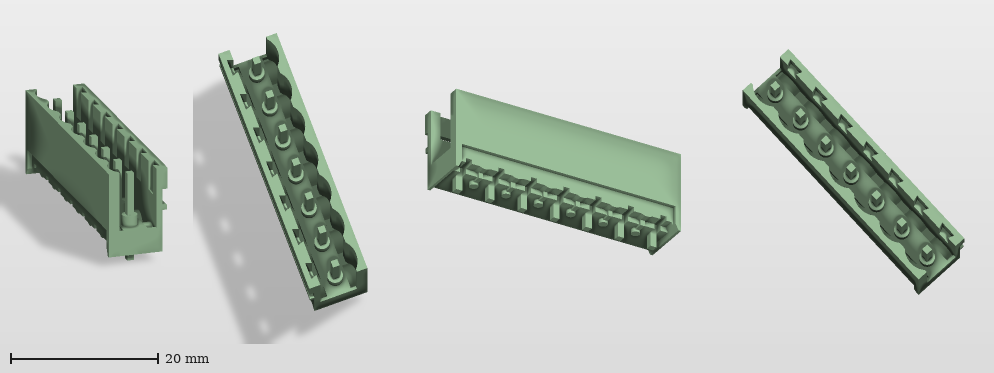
import cadquery as cq
import math


length = 35.35
depth = 8.4
height = 13.5

pin_count = 7
pitch = 5.1
pin_size = 0.95
pin_top = 12.55
row_y = 3.8
pole_x = [length / 2 + (i - (pin_count - 1) / 2) * pitch for i in range(pin_count)]
gap_x = [x + pitch / 2 for x in pole_x[:-1]]

foot_z = 1.5
floor_z = 5.0
front_inner_y = 1.52
back_inner_y = 6.82
back_outer_y = 7.67
latch_z = 10.45
rib_bottom = 7.45
rib_top = 8.2
rib_y = 8.3

collar_diameter = 2.12
collar_top = 6.5

trench_margin = 0.42
floor_front_y = 2.25
floor_back_y = 5.65
ridge_radius = 1.6
ridge_flank_angle = math.radians(55)
ridge_half_base = 1.7
ridge_arc_half = ridge_radius * math.sin(ridge_flank_angle)
ridge_arc_rise = ridge_radius * (1 - math.cos(ridge_flank_angle))
ridge_flank_rise = (ridge_half_base - ridge_arc_half) * math.tan(ridge_flank_angle)
trench_z = floor_z - ridge_arc_rise - ridge_flank_rise

scallop_radius = 3.05

keyway_bottom = 9.37
keyway_mouth = 1.77
keyway_back = 2.4

recess_margin = 0.9
recess_top = 5.13
recess_depth = 0.65
foot_tip = 0.4
foot_root = 1.1
lip_z = 2.85
base_z = 2.12
dip_z = 2.65
dip_bottom_width = 0.65
dip_top_width = 1.7
notch_top = 3.5
standoff_diameter = 1.27
web_width = 0.65
web_bottom = 1.8
web_front_y = 1.85


def box(x0, x1, y0, y1, z0, z1):
    """Box between two opposite corners."""
    return cq.Workplane("XY").box(x1 - x0, y1 - y0, z1 - z0, centered=False).translate((x0, y0, z0))


def along_y(outline, y0, y1):
    """Extrude a closed XZ outline from y0 to y1."""
    return outline.close().extrude(-(y1 - y0)).translate((0, y0, 0))


def shell():
    """U-shaped channel with the thick latch edge and the rib on its back."""
    outline = [
        (0, foot_z),
        (back_outer_y, foot_z),
        (back_outer_y, rib_bottom),
        (rib_y, rib_bottom),
        (rib_y, rib_top),
        (back_outer_y, rib_top),
        (back_outer_y, latch_z),
        (depth, latch_z),
        (depth, height),
        (back_inner_y, height),
        (back_inner_y, floor_z),
        (front_inner_y, floor_z),
        (front_inner_y, height),
        (0, height),
    ]
    return cq.Workplane("YZ").polyline(outline).close().extrude(length)


def ridge(x):
    """Round-topped ridge across the floor, level with it at the crest."""
    shoulder_z = floor_z - ridge_arc_rise
    outline = (
        cq.Workplane("XZ")
        .moveTo(x - ridge_half_base, trench_z)
        .lineTo(x - ridge_arc_half, shoulder_z)
        .threePointArc((x, floor_z), (x + ridge_arc_half, shoulder_z))
        .lineTo(x + ridge_half_base, trench_z)
    )
    return along_y(outline, 0, back_inner_y)


def scallop(x):
    """Round clearance about a pin, from the trench bottom to the top edge."""
    plane = cq.Workplane("XY", origin=(x, row_y, trench_z))
    return plane.circle(scallop_radius).extrude(height - trench_z)


def trenches():
    """Space of both trenches and of the scallops above the front one, less the ridges."""
    x0 = trench_margin
    x1 = length - trench_margin
    front_limits = box(x0, x1, 0, floor_front_y, trench_z, height)
    space = box(x0, x1, front_inner_y, floor_front_y, trench_z, floor_z)
    space = space.union(box(x0, x1, floor_back_y, back_inner_y, trench_z, floor_z))
    for x in pole_x:
        space = space.union(scallop(x).intersect(front_limits))
    for x in pole_x:
        space = space.cut(ridge(x))
    return space


def keyway(x):
    """Dovetail slot in the back wall, open at the top and, below the latch edge, at the back."""
    outline = [
        (x - keyway_mouth / 2, back_inner_y),
        (x + keyway_mouth / 2, back_inner_y),
        (x + keyway_back / 2, back_outer_y),
        (x - keyway_back / 2, back_outer_y),
    ]
    plane = cq.Workplane("XY", origin=(0, 0, keyway_bottom))
    return plane.polyline(outline).close().extrude(height - keyway_bottom)


def underside(ceiling_z, y0, y1):
    """Space below the base between the sloped inner sides of the two end feet."""
    slope = (foot_root - foot_tip) / (lip_z - foot_z)
    inset = foot_tip + slope * (ceiling_z - foot_z)
    outline = cq.Workplane("XZ").polyline([
        (foot_tip, foot_z),
        (inset, ceiling_z),
        (length - inset, ceiling_z),
        (length - foot_tip, foot_z),
    ])
    return along_y(outline, y0, y1)


def lip_dip(x):
    """Shallow drop of the front lip midway between two pins."""
    outline = cq.Workplane("XZ").polyline([
        (x - dip_top_width / 2, lip_z),
        (x - dip_bottom_width / 2, dip_z),
        (x + dip_bottom_width / 2, dip_z),
        (x + dip_top_width / 2, lip_z),
    ])
    return along_y(outline, recess_depth, floor_front_y)


def standoff(x):
    """Round foot under the base."""
    plane = cq.Workplane("XY", origin=(x, row_y, foot_z))
    return plane.circle(standoff_diameter / 2).extrude(lip_z - foot_z)


def standoff_web(x):
    """Web that runs forward from a standoff under the front lip."""
    return box(x - web_width / 2, x + web_width / 2, web_front_y, row_y, web_bottom, lip_z)


def collar(x):
    """Round collar on the floor at the pin."""
    plane = cq.Workplane("XY", origin=(x, row_y, floor_z))
    return plane.circle(collar_diameter / 2).extrude(collar_top - floor_z)


def pin_notch(x):
    """Notch through the lower front edge that leaves the foot of the pin open."""
    return box(x - pin_size / 2, x + pin_size / 2, 0, row_y, 0, notch_top)


def make_pin(x):
    """Straight square pin."""
    half = pin_size / 2
    return box(x - half, x + half, row_y - half, row_y + half, 0, pin_top)


def make_housing():
    body = shell().cut(trenches())
    body = body.cut(box(recess_margin, length - recess_margin, 0, recess_depth, foot_z, recess_top))
    body = body.cut(underside(lip_z, 0, floor_front_y))
    body = body.cut(underside(base_z, floor_front_y, back_outer_y))
    for x in gap_x:
        body = body.union(lip_dip(x)).union(standoff(x)).union(standoff_web(x))
    for x in pole_x:
        body = body.union(collar(x)).cut(keyway(x)).cut(pin_notch(x)).cut(make_pin(x))
    return body.solids()


housing = make_housing()
pins = [make_pin(x) for x in pole_x]

result = cq.Compound.makeCompound([housing.val(), *[pin.val() for pin in pins]])